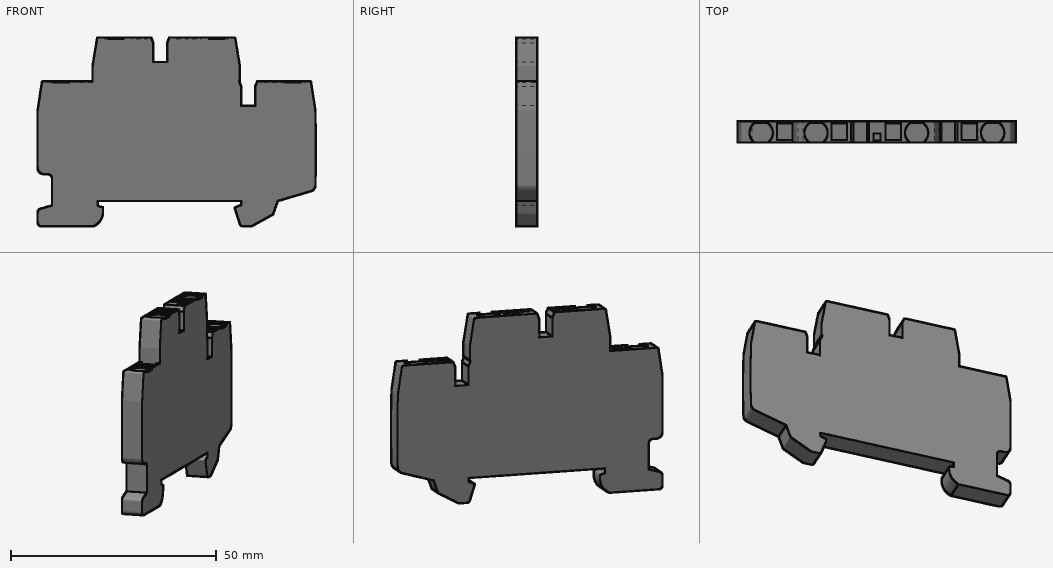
import cadquery as cq

length = 67.7
thickness = 5.2
height = 46.0

lower_level = 35.35
upper_left = 13.35
upper_right = 49.2
upper_draft = 1.15
upper_draft_bottom = 38.9
lower_draft = 1.1
lower_draft_bottom = 28.3

slot_width = 3.3
slot_depth = 5.95
slot_mouth_height = 1.35
slot_mouth_run = 0.55
upper_slot_left = 28.15
lower_slot_left = 49.55

end_bow = 0.15
end_x = length - end_bow
end_bottom = 8.9
end_bow_z = (lower_draft_bottom + end_bottom) / 2

rail_seat = 6.15
rail_left = 14.7
rail_right = 49.5

neck_x = 3.5
neck_top = 12.65
neck_bottom = 5.15
toe_top = 4.1
left_hook_tip = (16.0, 4.7)
left_hook_root_z = 5.0
left_hook_side_z = 3.5
left_hook_mid = (15.3, 1.4)
left_hook_bottom_x = 13.55

right_hook_tip = (47.85, 4.6)
right_hook_root_z = 5.2
right_sole_left = 49.35
right_sole_right = 52.0
heel = (57.3, 2.9)
heel_top_x = 58.4

end_radius = 1.6
neck_radius = 1.0
toe_radius = 1.0
heel_radius = 0.7
sole_radius = 0.9
hook_radius = 0.3
top_radius = 0.5

recess_depth = 0.4
screw_radius = 2.85
screw_y = 2.4
screw_flat_y = 2 * screw_y
wire_length = 3.8
wire_width = 4.0
wire_y = thickness / 2
wire_offset = 5.7
test_size = 1.7
test_x = 33.9
test_y = 1.4

terminals = [
    (5.75, lower_level, 1),
    (19.1, height, 1),
    (43.5, height, -1),
    (62.0, lower_level, -1),
]


def make_body():
    """Side profile with sharp corners, extruded through the thickness."""
    profile = (
        cq.Workplane("XZ")
        .moveTo(0, 0)
        .lineTo(0, toe_top)
        .lineTo(neck_x, neck_bottom)
        .lineTo(neck_x, neck_top)
        .lineTo(0, neck_top)
        .lineTo(0, lower_draft_bottom)
        .lineTo(lower_draft, lower_level)
        .lineTo(upper_left, lower_level)
        .lineTo(upper_left, upper_draft_bottom)
        .lineTo(upper_left + upper_draft, height)
        .lineTo(upper_right - upper_draft, height)
        .lineTo(upper_right, upper_draft_bottom)
        .lineTo(upper_right, lower_level)
        .lineTo(end_x - lower_draft, lower_level)
        .lineTo(end_x, lower_draft_bottom)
        .threePointArc((length, end_bow_z), (end_x, end_bottom))
        .lineTo(heel_top_x, rail_seat)
        .lineTo(*heel)
        .lineTo(right_sole_right, 0)
        .lineTo(right_sole_left, 0)
        .lineTo(*right_hook_tip)
        .lineTo(rail_right, right_hook_root_z)
        .lineTo(rail_right, rail_seat)
        .lineTo(rail_left, rail_seat)
        .lineTo(rail_left, left_hook_root_z)
        .lineTo(*left_hook_tip)
        .lineTo(left_hook_tip[0], left_hook_side_z)
        .threePointArc(left_hook_mid, (left_hook_bottom_x, 0))
        .close()
    )
    return profile.extrude(-thickness)


def round_corners(body, radius, corners):
    """Fillet the profile corners at the given (x, z) places."""
    for x, z in corners:
        corner = cq.selectors.NearestToPointSelector((x, thickness / 2, z))
        body = body.edges("|Y").edges(corner).fillet(radius)
    return body


def make_slot(left, top):
    """Slot cutter whose mouth widens towards the top surface."""
    right = left + slot_width
    bottom = top - slot_depth
    mouth = top - slot_mouth_height
    outline = [
        (left, bottom),
        (left, mouth),
        (left - slot_mouth_run, top),
        (right + slot_mouth_run, top),
        (right, mouth),
        (right, bottom),
    ]
    return cq.Workplane("XZ").polyline(outline).close().extrude(-thickness)


def make_screw_recess(x, top):
    """Round recess cut flat at the back and just touching through the open face."""
    disc = cq.Workplane("XY", origin=(x, screw_y, top)).circle(screw_radius).extrude(-recess_depth)
    band = cq.Workplane("XY", origin=(x, screw_flat_y / 2, top))
    return disc.intersect(band.rect(2 * screw_radius, screw_flat_y).extrude(-recess_depth))


def make_rect_recess(x, y, top, size_x, size_y):
    """Rectangular recess sunk from a top surface."""
    return cq.Workplane("XY", origin=(x, y, top)).rect(size_x, size_y).extrude(-recess_depth)


outer_top_corners = [
    (lower_draft, lower_level),
    (upper_left + upper_draft, height),
    (upper_right - upper_draft, height),
    (end_x - lower_draft, lower_level),
]
hook_corners = [
    left_hook_tip,
    (rail_left, left_hook_root_z),
    right_hook_tip,
    (rail_right, right_hook_root_z),
]

result = make_body()
result = round_corners(result, end_radius, [(0, neck_top), (end_x, end_bottom)])
result = round_corners(result, neck_radius, [(neck_x, neck_top)])
result = round_corners(result, toe_radius, [(0, 0), (0, toe_top)])
result = round_corners(result, heel_radius, [heel])
result = round_corners(result, sole_radius, [(right_sole_left, 0), (right_sole_right, 0)])
result = round_corners(result, top_radius, outer_top_corners)
result = round_corners(result, hook_radius, hook_corners)

result = result.cut(make_slot(upper_slot_left, height))
result = result.cut(make_slot(lower_slot_left, lower_level))

for screw_x, terminal_top, wire_side in terminals:
    wire_x = screw_x + wire_side * wire_offset
    result = result.cut(make_screw_recess(screw_x, terminal_top))
    result = result.cut(make_rect_recess(wire_x, wire_y, terminal_top, wire_length, wire_width))

result = result.cut(make_rect_recess(test_x, test_y, height, test_size, test_size))